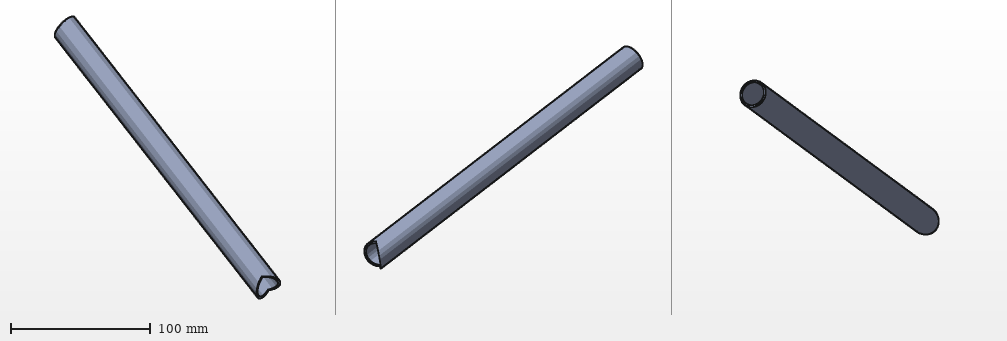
import cadquery as cq

OUTER_RADIUS = 10.0
WALL = 1.5

AXIS_SLOPE_Y = -0.2395
AXIS_SLOPE_Z = -0.2053
SPAN_X = 234.55

REAR_NOTCH_NORMAL = cq.Vector(1, -1, -0.14)
REAR_NOTCH_X = 0.0
FRONT_NOTCH_NORMAL = cq.Vector(1, 0.097, 0.13)
FRONT_NOTCH_X = 0.57

TRIM_ALLOWANCE = 5 * OUTER_RADIUS
CUTTER_SIZE = 4 * TRIM_ALLOWANCE

JOINT = cq.Vector(0, 0, 0)
FAR_END = cq.Vector(-SPAN_X, -SPAN_X * AXIS_SLOPE_Y, -SPAN_X * AXIS_SLOPE_Z)
AXIS = (JOINT - FAR_END).normalized()
X_DIRECTION = cq.Vector(1, 0, 0)


def raw_tube():
    """Square-ended tube, longer than needed at both ends."""
    start = FAR_END - AXIS * TRIM_ALLOWANCE
    length = (JOINT - FAR_END).Length + 2 * TRIM_ALLOWANCE
    section = cq.Workplane(cq.Plane(origin=start, normal=AXIS))
    return section.circle(OUTER_RADIUS).circle(OUTER_RADIUS - WALL).extrude(length)


def block_beyond(point, normal):
    """Large block on the side of the plane through `point` that `normal` points to."""
    plane = cq.Plane(origin=point, normal=normal)
    return cq.Workplane(plane).rect(CUTTER_SIZE, CUTTER_SIZE).extrude(CUTTER_SIZE)


def far_end_miter():
    """Cut at the far end, halfway between the tube axis and the X direction."""
    return block_beyond(FAR_END, -(AXIS + X_DIRECTION))


def joint_notch():
    """V notch at the joint: the space beyond both notch planes."""
    beyond_rear = block_beyond(X_DIRECTION * REAR_NOTCH_X, REAR_NOTCH_NORMAL)
    beyond_front = block_beyond(X_DIRECTION * FRONT_NOTCH_X, FRONT_NOTCH_NORMAL)
    return beyond_rear.intersect(beyond_front)


result = raw_tube().cut(far_end_miter()).cut(joint_notch())